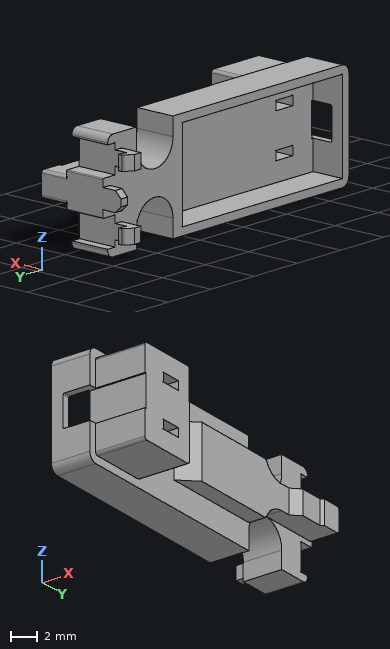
import cadquery as cq

LENGTH = 28.5
HEIGHT = 9.8
THICKNESS = 3.7
REAR_CORNER_RADIUS = 0.77
EDGE_RADIUS = 0.25
Y_FRONT = LENGTH / 2
Y_REAR = -LENGTH / 2

NOTCH_Y = 8.25
NOTCH_RADIUS = 2.1
NECK_HALF_HEIGHT = 1.15
NOTCH_CENTRE_Z = NECK_HALF_HEIGHT + NOTCH_RADIUS

HEAD_STEP_Y = 12.82
TONGUE_HALF_HEIGHT = 1.6
TONGUE_CORNER_RADIUS = 0.09
ARM_TIP_Y = 13.68
ARM_INNER_Z = 4.15
ARM_RADIUS = 0.6

POCKET_Y_MIN = -13.5
POCKET_Y_MAX = 5.02
POCKET_HEIGHT = 8.32
POCKET_DEPTH = 3.02

PLUG_PROJECTION = 4.73
PLUG_Y_MIN = POCKET_Y_MIN
PLUG_Y_MAX = -7.8
PLUG_HEIGHT = 8.32
PLUG_X_END = THICKNESS + PLUG_PROJECTION

GROOVE_X_START = 1.15
GROOVE_HEIGHT = 3.0
GROOVE_FLOOR_Y = -13.37
GROOVE_CORNER_RADIUS = 0.1

WINDOW_Y_MIN = -11.15
WINDOW_Y_MAX = -9.2
WINDOW_HEIGHT = 0.83
WINDOW_CENTRE_Z = 2.0

RIB_X = 5.27
REAR_RIB_HALF_HEIGHT = 2.5
REAR_RIB_SLOPE_TOP_Y = -2.0
REAR_RIB_SLOPE_FOOT_Y = -3.48
HEAD_RIB_X = 6.05
HEAD_RIB_LIP_X = 6.3
HEAD_RIB_LIP_Y = 12.37
HEAD_RIB_SLOPE_TOP_Y = 9.98

HOOK_REACH = 2.0
HOOK_NOSE_OUTER_X = 1.48
HOOK_NOSE_INNER_X = 1.05
HOOK_UNDERCUT_X = 1.17
HOOK_ROOT_Y = 12.08
HOOK_NOSE_Y = 13.6
HOOK_NOSE_BEVEL = 0.1
HOOK_HEIGHT = 1.3
HOOK_CENTRE_Z = 2.94

PEG_REACH = 1.88
PEG_SHOULDER_X = 1.28
PEG_ROOT_WIDTH = 0.83
PEG_TIP_WIDTH = 0.75
PEG_HALF_HEIGHT = 0.88
PEG_TIP_HALF_HEIGHT = 0.3

SIDES = (1, -1)


def block(x_min, x_max, y_min, y_max, height, centre_z=0.0):
    """Box given by its X and Y limits, centred on centre_z."""
    size = (x_max - x_min, y_max - y_min, height)
    return cq.Workplane("XY").box(*size).translate(
        ((x_min + x_max) / 2, (y_min + y_max) / 2, centre_z)
    )


def plate():
    """Housing plate with rounded rear corners and the shaped head end."""
    body = block(0, THICKNESS, Y_REAR, ARM_TIP_Y, HEIGHT)
    body = body.edges("|X and <Y").fillet(REAR_CORNER_RADIUS)
    body = body.edges("|X and >Y").fillet(ARM_RADIUS)
    body = body.cut(block(0, THICKNESS, HEAD_STEP_Y, Y_FRONT, 2 * ARM_INNER_Z))
    tongue = block(0, THICKNESS, NOTCH_Y, Y_FRONT, 2 * TONGUE_HALF_HEIGHT)
    return body.union(tongue.edges("|X and >Y").fillet(TONGUE_CORNER_RADIUS))


def rear_rib():
    """Low rib from the waist toward the plug, ending in a slope."""
    outline = [
        (THICKNESS, NOTCH_Y),
        (RIB_X, NOTCH_Y),
        (RIB_X, REAR_RIB_SLOPE_TOP_Y),
        (THICKNESS, REAR_RIB_SLOPE_FOOT_Y),
    ]
    rib = cq.Workplane("XY").polyline(outline).close().extrude(REAR_RIB_HALF_HEIGHT, both=True)
    rib = rib.cut(waist_notches())
    for selector in (">Z", "<Z"):
        rib = rib.faces(selector).edges("|X and >Y").fillet(EDGE_RADIUS)
    return rib


def head_rib():
    """Stepped rib from the waist to the head end."""
    lip_chamfer = HEAD_RIB_LIP_X - HEAD_RIB_X
    slope_foot_y = HEAD_RIB_SLOPE_TOP_Y - (HEAD_RIB_X - RIB_X)
    outline = [
        (THICKNESS, NOTCH_Y),
        (RIB_X, NOTCH_Y),
        (RIB_X, slope_foot_y),
        (HEAD_RIB_X, HEAD_RIB_SLOPE_TOP_Y),
        (HEAD_RIB_X, HEAD_RIB_LIP_Y - lip_chamfer),
        (HEAD_RIB_LIP_X, HEAD_RIB_LIP_Y),
        (HEAD_RIB_LIP_X, Y_FRONT),
        (THICKNESS, Y_FRONT),
    ]
    rib = cq.Workplane("XY").polyline(outline).close().extrude(NECK_HALF_HEIGHT, both=True)
    return rib.faces(">Y").edges("|X").fillet(EDGE_RADIUS)


def plug():
    """Plug block with rounded long edges, rooted in the pocket floor."""
    body = block(POCKET_DEPTH, PLUG_X_END, PLUG_Y_MIN, PLUG_Y_MAX, PLUG_HEIGHT)
    return body.edges("|X").fillet(EDGE_RADIUS)


def hook(centre_z):
    """Snap hook with a bevelled, undercut nose pointing toward the head end."""
    outline = [
        (THICKNESS, HOOK_ROOT_Y),
        (-HOOK_REACH, HOOK_ROOT_Y),
        (-HOOK_REACH, HEAD_STEP_Y),
        (-HOOK_NOSE_OUTER_X, HOOK_NOSE_Y - HOOK_NOSE_BEVEL),
        (-HOOK_NOSE_OUTER_X + HOOK_NOSE_BEVEL, HOOK_NOSE_Y),
        (-HOOK_NOSE_INNER_X, HOOK_NOSE_Y),
        (-HOOK_UNDERCUT_X, HEAD_STEP_Y),
        (THICKNESS, HEAD_STEP_Y),
    ]
    profile = cq.Workplane("XY").polyline(outline).close()
    return profile.extrude(HOOK_HEIGHT / 2, both=True).translate((0, 0, centre_z))


def peg():
    """Pointed peg, flush with the end of the tongue and slightly thinner at the tip."""
    pointed_outline = [
        (0, -PEG_HALF_HEIGHT),
        (-PEG_SHOULDER_X, -PEG_HALF_HEIGHT),
        (-PEG_REACH, -PEG_TIP_HALF_HEIGHT),
        (-PEG_REACH, PEG_TIP_HALF_HEIGHT),
        (-PEG_SHOULDER_X, PEG_HALF_HEIGHT),
        (0, PEG_HALF_HEIGHT),
    ]
    tapered_outline = [
        (0, Y_FRONT),
        (0, Y_FRONT - PEG_ROOT_WIDTH),
        (-PEG_REACH, Y_FRONT - PEG_TIP_WIDTH),
        (-PEG_REACH, Y_FRONT),
    ]
    pointed = cq.Workplane("XZ", origin=(0, Y_FRONT, 0)).polyline(pointed_outline).close()
    tapered = cq.Workplane("XY").polyline(tapered_outline).close()
    return pointed.extrude(PEG_ROOT_WIDTH).intersect(tapered.extrude(PEG_HALF_HEIGHT, both=True))


def waist_notches():
    """Pair of round-bottomed notches, open at the top and bottom faces."""
    width = 2 * NOTCH_RADIUS
    notches = cq.Workplane("YZ")
    for side in SIDES:
        centre_z = side * NOTCH_CENTRE_Z
        round_end = cq.Workplane("YZ").center(NOTCH_Y, centre_z).circle(NOTCH_RADIUS)
        mouth = cq.Workplane("YZ").center(NOTCH_Y, centre_z + side * NOTCH_RADIUS).rect(width, width)
        notches = notches.union(round_end.extrude(RIB_X)).union(mouth.extrude(RIB_X))
    return notches


def groove():
    """Groove through the rear wall and along the plug, with rounded inner corners."""
    cutter = block(GROOVE_X_START, PLUG_X_END, Y_REAR, GROOVE_FLOOR_Y, GROOVE_HEIGHT)
    return cutter.edges("|Y and <X").fillet(GROOVE_CORNER_RADIUS)


result = plate().cut(waist_notches())
result = result.cut(block(0, POCKET_DEPTH, POCKET_Y_MIN, POCKET_Y_MAX, POCKET_HEIGHT))
result = result.union(rear_rib()).union(head_rib()).union(plug()).union(peg())
result = result.cut(groove())
for side in SIDES:
    centre_z = side * WINDOW_CENTRE_Z
    result = result.union(hook(side * HOOK_CENTRE_Z))
    result = result.cut(block(0, PLUG_X_END, WINDOW_Y_MIN, WINDOW_Y_MAX, WINDOW_HEIGHT, centre_z))